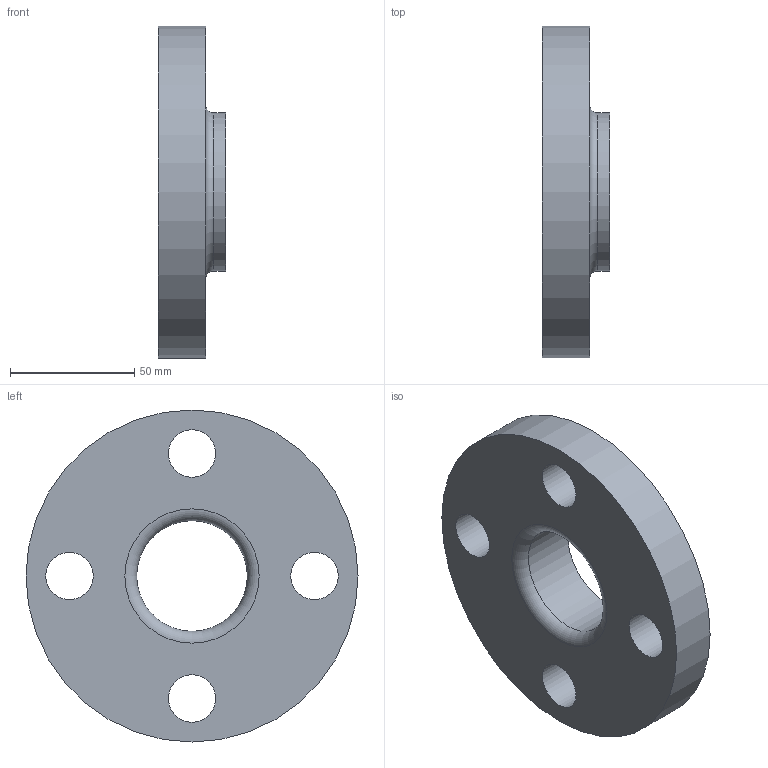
import cadquery as cq

flange_diameter = 133.35
flange_thickness = 19.05
overall_length = 26.99
hub_diameter = 63.5
hub_fillet_radius = 3.175
bore_diameter = 44.45
bore_mouth_radius = 4.76
bolt_hole_diameter = 19.05
bolt_circle_diameter = 98.43
bolt_count = 4

smallest_circle = cq.selectors.RadiusNthSelector(0)


def cylinder(diameter, length):
    """Cylinder along +X that starts at the flange's -X face."""
    return cq.Workplane("YZ").circle(diameter / 2).extrude(length)


def make_body():
    """Flange disc with a short hub on its +X face and a fillet at the hub root."""
    body = cylinder(flange_diameter, flange_thickness).union(cylinder(hub_diameter, overall_length))
    hub_root = body.faces(">X[-2]").edges(smallest_circle)
    return hub_root.fillet(hub_fillet_radius)


def cut_bore(body):
    """Through bore with a rounded mouth on the -X face."""
    bored = body.cut(cylinder(bore_diameter, overall_length))
    mouth_edge = bored.faces("<X").edges(smallest_circle)
    return mouth_edge.fillet(bore_mouth_radius)


def cut_bolt_holes(body):
    """Evenly spaced bolt holes through the flange disc."""
    holes = (
        cq.Workplane("YZ")
        .polarArray(bolt_circle_diameter / 2, 0, 360, bolt_count)
        .circle(bolt_hole_diameter / 2)
        .extrude(flange_thickness)
    )
    return body.cut(holes)


result = cut_bolt_holes(cut_bore(make_body()))